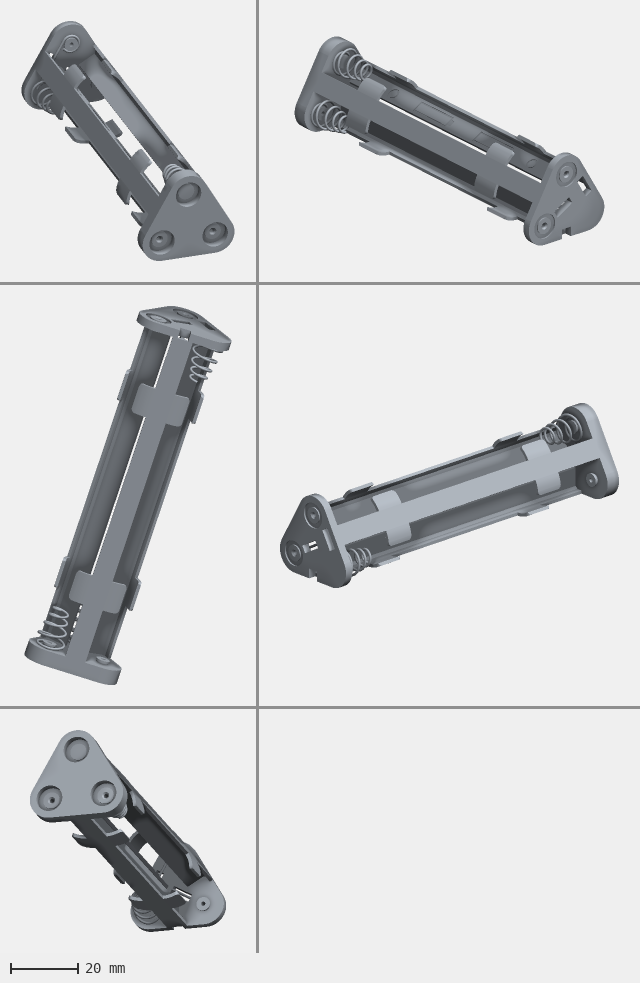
import cadquery as cq
import math


LENGTH = 111.0
LEFT_PLATE = 2.5
RIGHT_PLATE = 4.7
CELL_SPACING = 16.8
CORNER_RADIUS = 6.1

RAIL_HALF_WIDTH = 3.1
RAIL_THICKNESS = 1.0
WEB_HALF_THICKNESS = 0.5
WEB_HEIGHT = 7.5
GUSSET = 0.8

CLIP_LENGTH = 9.2
CLIP_CENTERS = (24.1, 84.8)
CLIP_HALF_SPAN = 7.9
CLIP_RADIUS = 9.3
CLIP_CORNER = 1.2

SIDE_SLOT = (6.7, 1.8, 4.3)
WIRE_GAP_DEPTH = 3.9
CENTER_SLOT = (2.4, 9.1, 15.7)
BOTTOM_SLOT = (3.3, 0.0, 3.1)

WIRE_RADIUS = 0.39
WIRE_SEAT = 0.4
LOOP_RADIUS = 2.5
BASE_RADIUS = 4.3
SPRING_TURNS = 3.5
FIRST_RISE = 2.3
START_PITCH = 3.8
PITCH_LOSS = 0.28
CONE_RADIUS = 4.8
CONE_TAPER = 0.21
TANGENT_ANGLE = math.radians(60)
START_TURN = -TANGENT_ANGLE / (2 * math.pi) - 1
BASE_END_TURN = -0.5
POINTS_PER_TURN = 12
LOOP_SWEEP = math.radians(300)

RIVET_HEAD_RADIUS = 2.1
RIVET_HEAD = 1.1
RIVET_NECK_RADIUS = 1.9
RIVET_NECK = 0.5
RIVET_SHANK_RADIUS = 1.3
RIVET_BORE_RADIUS = 0.7
RIVET_BORE_BEVEL = 0.4
RIVET_FLANGE_RADIUS = 2.5
RIVET_FLANGE = 0.4
RIVET_GRIP = 2.0
RECESS_RADIUS = 4.0

MARK_DEPTH = 0.2
MARK_LINE = 0.5
BATTERY_MARK = (15.3, 4.0)
BATTERY_MARK_CENTERS = (41.4, 69.6)
TERMINAL_MARK = (1.3, 2.1)
RING_MARK_RADIUS = 1.9
RING_MARK_CENTERS = (23.0, 88.5)

RIGHT_FACE = LENGTH - RIGHT_PLATE
BAY_LENGTH = RIGHT_FACE - LEFT_PLATE
BASE_Z = CORNER_RADIUS
TOP_Z = BASE_Z + CELL_SPACING * math.sqrt(3) / 2
CENTER_Z = BASE_Z + CELL_SPACING / (2 * math.sqrt(3))
FRONT_AXIS = (-CELL_SPACING / 2, BASE_Z)
BACK_AXIS = (CELL_SPACING / 2, BASE_Z)
TOP_AXIS = (0.0, TOP_Z)
BACK_SIDE = 120
FRONT_SIDE = -120
MARK_HEIGHT = (RAIL_THICKNESS + GUSSET + WEB_HEIGHT) / 2


def to_side(shape, angle):
    """Turn a shape made at the bottom side about the axis of the triangle."""
    return shape.rotate((0, 0, CENTER_Z), (1, 0, CENTER_Z), angle)


def box(x_range, y_range, z_range):
    size = [high - low for low, high in (x_range, y_range, z_range)]
    corner = (x_range[0], y_range[0], z_range[0])
    return cq.Workplane("XY").box(*size, centered=False).translate(corner)


def end_plate(x_start, thickness):
    return (
        cq.Workplane("YZ", origin=(x_start, 0, 0))
        .polyline([FRONT_AXIS, BACK_AXIS, TOP_AXIS])
        .close()
        .offset2D(CORNER_RADIUS, "arc")
        .extrude(thickness)
    )


def rail():
    """T-section at the bottom side, its web pointing into the triangle."""
    half_section = [
        (RAIL_HALF_WIDTH, 0),
        (RAIL_HALF_WIDTH, RAIL_THICKNESS),
        (WEB_HALF_THICKNESS + GUSSET, RAIL_THICKNESS),
        (WEB_HALF_THICKNESS, RAIL_THICKNESS + GUSSET),
        (WEB_HALF_THICKNESS, WEB_HEIGHT),
    ]
    mirrored = [(-y, z) for y, z in reversed(half_section)]
    return (
        cq.Workplane("YZ", origin=(LEFT_PLATE, 0, 0))
        .polyline(half_section + mirrored)
        .close()
        .extrude(BAY_LENGTH)
    )


def clip(x_center):
    """Pair of curved wings that carry the rail on round its two neighbouring cells."""
    inner_radius = CLIP_RADIUS - RAIL_THICKNESS
    sweep = math.asin((CLIP_HALF_SPAN - RAIL_HALF_WIDTH) / CLIP_RADIUS)

    def on_bend(radius, angle, side):
        return (
            side * (RAIL_HALF_WIDTH + radius * math.sin(angle)),
            CLIP_RADIUS - radius * math.cos(angle),
        )

    section = (
        cq.Workplane("YZ", origin=(x_center - CLIP_LENGTH / 2, 0, 0))
        .moveTo(-RAIL_HALF_WIDTH, 0)
        .lineTo(RAIL_HALF_WIDTH, 0)
        .threePointArc(on_bend(CLIP_RADIUS, sweep / 2, 1), on_bend(CLIP_RADIUS, sweep, 1))
        .lineTo(*on_bend(inner_radius, sweep, 1))
        .threePointArc(on_bend(inner_radius, sweep / 2, 1), (RAIL_HALF_WIDTH, RAIL_THICKNESS))
        .lineTo(-RAIL_HALF_WIDTH, RAIL_THICKNESS)
        .threePointArc(on_bend(inner_radius, sweep / 2, -1), on_bend(inner_radius, sweep, -1))
        .lineTo(*on_bend(CLIP_RADIUS, sweep, -1))
        .threePointArc(on_bend(CLIP_RADIUS, sweep / 2, -1), (-RAIL_HALF_WIDTH, 0))
        .close()
        .extrude(CLIP_LENGTH)
    )
    rounded_outline = (
        cq.Workplane("XY")
        .center(x_center, 0)
        .rect(CLIP_LENGTH, 2 * CLIP_HALF_SPAN)
        .extrude(CORNER_RADIUS)
        .edges("|Z")
        .fillet(CLIP_CORNER)
    )
    return section.intersect(rounded_outline)


def plate_slot(slot, depth):
    width, inner, outer = slot
    return box((0, depth), (-width / 2, width / 2), (inner, outer))


def slot_bar():
    """Round bar across the inner mouth of the centre slot."""
    _, inner, outer = CENTER_SLOT
    return (
        cq.Workplane("XY", origin=(LEFT_PLATE, 0, inner))
        .circle(WIRE_RADIUS)
        .extrude(outer - inner)
    )


def polarity_marks():
    """Battery outlines and rings engraved in the web face on the -Y side of the bottom web."""
    face = cq.Workplane("XZ", origin=(0, -WEB_HALF_THICKNESS, MARK_HEIGHT))
    length, height = BATTERY_MARK
    frame = (
        face.pushPoints([(x, 0) for x in BATTERY_MARK_CENTERS])
        .rect(length, height)
        .rect(length - 2 * MARK_LINE, height - 2 * MARK_LINE)
        .extrude(-MARK_DEPTH)
    )
    terminal_offset = (length + TERMINAL_MARK[0]) / 2
    terminals = (
        face.pushPoints([(x - terminal_offset, 0) for x in BATTERY_MARK_CENTERS])
        .rect(*TERMINAL_MARK)
        .extrude(-MARK_DEPTH)
    )
    rings = (
        face.pushPoints([(x, 0) for x in RING_MARK_CENTERS])
        .circle(RING_MARK_RADIUS)
        .circle(RING_MARK_RADIUS - MARK_LINE)
        .extrude(-MARK_DEPTH)
    )
    return frame.union(terminals).union(rings)


def rivet_seat(axis, x_outer, direction, thickness):
    """Hole through a plate with a wide recess from the outside, leaving the rivet grip."""
    plane = cq.Plane(origin=(x_outer, *axis), xDir=(0, 1, 0), normal=(direction, 0, 0))
    hole = cq.Workplane(plane).circle(RIVET_SHANK_RADIUS).extrude(thickness)
    recess = cq.Workplane(plane).circle(RECESS_RADIUS).extrude(thickness - RIVET_GRIP)
    return hole.union(recess)


def make_housing():
    body = end_plate(0, LEFT_PLATE).union(end_plate(RIGHT_FACE, RIGHT_PLATE))
    for angle in (0, BACK_SIDE, FRONT_SIDE):
        body = body.union(to_side(rail(), angle))
        for x_center in CLIP_CENTERS:
            body = body.union(to_side(clip(x_center), angle))
    body = body.cut(plate_slot(BOTTOM_SLOT, LEFT_PLATE))
    body = body.cut(to_side(plate_slot(CENTER_SLOT, LEFT_PLATE), FRONT_SIDE))
    body = body.cut(to_side(plate_slot(SIDE_SLOT, WIRE_GAP_DEPTH), FRONT_SIDE))
    body = body.union(to_side(slot_bar(), FRONT_SIDE))
    body = body.cut(to_side(polarity_marks(), FRONT_SIDE))
    for axis in (TOP_AXIS, BACK_AXIS):
        body = body.cut(rivet_seat(axis, 0, 1, LEFT_PLATE))
    for axis in (TOP_AXIS, BACK_AXIS, FRONT_AXIS):
        body = body.cut(rivet_seat(axis, LENGTH, -1, RIGHT_PLATE))
    return body


def make_rivet(axis, x_inner, direction, hollow):
    """Rivet with its contact head on the inner plate face; direction points into the bay."""
    plane = cq.Plane(origin=(x_inner, *axis), xDir=(0, 1, 0), normal=(direction, 0, 0))
    flange_start = -RIVET_GRIP - RIVET_FLANGE

    def disc(radius, start, end):
        return cq.Workplane(plane).workplane(offset=start).circle(radius).extrude(end - start)

    body = disc(RIVET_FLANGE_RADIUS, flange_start, -RIVET_GRIP)
    body = body.union(disc(RIVET_SHANK_RADIUS, -RIVET_GRIP, 0))
    body = body.union(disc(RIVET_NECK_RADIUS, 0, RIVET_NECK))
    body = body.union(disc(RIVET_HEAD_RADIUS, RIVET_NECK, RIVET_HEAD))
    if not hollow:
        return body
    flare = (
        cq.Workplane(plane)
        .workplane(offset=flange_start)
        .circle(RIVET_BORE_RADIUS + RIVET_BORE_BEVEL)
        .workplane(offset=RIVET_BORE_BEVEL)
        .circle(RIVET_BORE_RADIUS)
        .loft()
    )
    return body.cut(disc(RIVET_BORE_RADIUS, flange_start, RIVET_HEAD)).cut(flare)


def spring_point(turn):
    """Wire centre on the front cell: a flat outward spiral, then a rising, narrowing coil."""
    if turn < BASE_END_TURN:
        share = (turn - START_TURN) / (BASE_END_TURN - START_TURN)
        radius = LOOP_RADIUS + share * (BASE_RADIUS - LOOP_RADIUS)
        rise = WIRE_SEAT
    else:
        rise = max(WIRE_SEAT, FIRST_RISE + START_PITCH * turn - PITCH_LOSS * turn**2)
        radius = min(BASE_RADIUS, CONE_RADIUS - CONE_TAPER * rise)
    angle = 2 * math.pi * turn
    y = FRONT_AXIS[0] + radius * math.sin(angle)
    z = FRONT_AXIS[1] + radius * math.cos(angle)
    return cq.Vector(LEFT_PLATE + rise, y, z)


def coil_path():
    count = math.ceil((SPRING_TURNS - START_TURN) * POINTS_PER_TURN)
    step = (SPRING_TURNS - START_TURN) / count
    points = [spring_point(START_TURN + i * step) for i in range(count + 1)]
    return cq.Edge.makeSpline(points)


def loop_point(angle):
    """Wire centre at an angle round the top rivet, measured from +Z towards -Y."""
    y = TOP_AXIS[0] - LOOP_RADIUS * math.sin(angle)
    z = TOP_AXIS[1] + LOOP_RADIUS * math.cos(angle)
    return cq.Vector(LEFT_PLATE + WIRE_SEAT, y, z)


def lead_path():
    """Loop round the top rivet and the straight lead from it to the spring."""
    loop_end = TANGENT_ANGLE
    loop_start = loop_end - LOOP_SWEEP
    middle = (loop_start + loop_end) / 2
    loop = cq.Edge.makeThreePointArc(loop_point(loop_start), loop_point(middle), loop_point(loop_end))
    lead = cq.Edge.makeLine(loop_point(loop_end), spring_point(START_TURN))
    return [loop, lead]


def sweep_wire(edges):
    path = cq.Wire.assembleEdges(edges)
    plane = cq.Plane(origin=path.startPoint(), normal=path.tangentAt(0))
    return cq.Workplane(plane).circle(WIRE_RADIUS).sweep(cq.Workplane(path), isFrenet=True)


def make_plain_spring(axis):
    """Spring without a lead, mirrored to face -X from the right plate."""
    spring = sweep_wire([coil_path()]).mirror("YZ")
    shift = (RIGHT_FACE + LEFT_PLATE, axis[0] - FRONT_AXIS[0], axis[1] - FRONT_AXIS[1])
    return spring.translate(shift)


def make_linked_spring():
    """Front spring on the left plate, joined by its lead to the top rivet."""
    return sweep_wire(lead_path()).union(sweep_wire([coil_path()]))


housing = make_housing()
rivets = [make_rivet(axis, LEFT_PLATE, 1, True) for axis in (TOP_AXIS, BACK_AXIS)]
rivets += [make_rivet(axis, RIGHT_FACE, -1, True) for axis in (BACK_AXIS, FRONT_AXIS)]
rivets.append(make_rivet(TOP_AXIS, RIGHT_FACE, -1, False))
linked_spring = make_linked_spring()
plain_springs = [make_plain_spring(axis) for axis in (TOP_AXIS, BACK_AXIS)]

bodies = [housing, linked_spring, *plain_springs, *rivets]
result = cq.Compound.makeCompound([body.solids().val() for body in bodies])